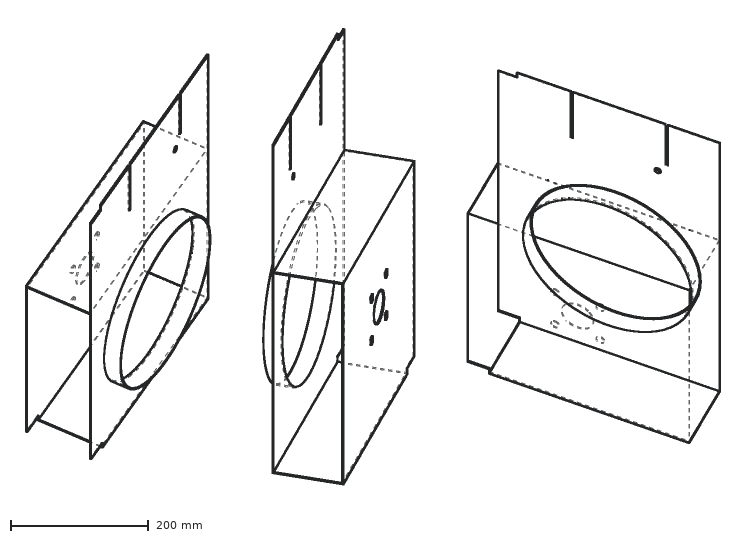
import cadquery as cq

height = 559.0
width = 353.0
total_depth = 134.5
box_height = 343.0
collar_length = 27.0
sheet = 2.0
box_depth = total_depth - collar_length
panel_x = box_depth - sheet

axis_y = 175.0
axis_z = 197.0
collar_diameter = 271.5
collar_wall = sheet
shaft_diameter = 51.0
bolt_diameter = 13.0
bolt_spacing = 72.0

notch_height = 10.0
top_notch_width = 30.0
bottom_notch_width = 34.0
slot_width = 4.0
slots = [(269.0, 89.5), (117.5, 102.0)]
pin_diameter = 9.5
pin_y = 254.0
pin_drop = 110.5


def block(x, y, z, dx, dy, dz):
    """Box of the given size with its lowest corner at (x, y, z)."""
    return cq.Workplane("XY").box(dx, dy, dz, centered=False).translate((x, y, z))


def rod(x, y, z, diameter, length):
    """Cylinder along +X starting at (x, y, z)."""
    return cq.Workplane("YZ", origin=(x, y, z)).circle(diameter / 2).extrude(length)


body = block(0, 0, 0, box_depth, width, box_height)
body = body.cut(block(sheet, 0, sheet, panel_x - sheet, width, box_height - 2 * sheet))
body = body.union(block(panel_x, 0, 0, sheet, width, height))

body = body.union(rod(panel_x, axis_y, axis_z, collar_diameter, sheet + collar_length))
collar_bore = collar_diameter - 2 * collar_wall
body = body.cut(rod(panel_x, axis_y, axis_z, collar_bore, sheet + collar_length))

body = body.cut(rod(0, axis_y, axis_z, shaft_diameter, sheet))
for side_y in (-1, 1):
    for side_z in (-1, 1):
        bolt_y = axis_y + side_y * bolt_spacing / 2
        bolt_z = axis_z + side_z * bolt_spacing / 2
        body = body.cut(rod(0, bolt_y, bolt_z, bolt_diameter, sheet))

for slot_y, slot_depth in slots:
    slot_start = slot_y - slot_width / 2
    body = body.cut(block(panel_x, slot_start, height - slot_depth, sheet, slot_width, slot_depth))
body = body.cut(rod(panel_x, pin_y, height - pin_drop, pin_diameter, sheet))

body = body.cut(block(panel_x, 0, height - notch_height, sheet, top_notch_width, notch_height))
body = body.cut(block(0, 0, 0, box_depth, bottom_notch_width, notch_height))

result = body